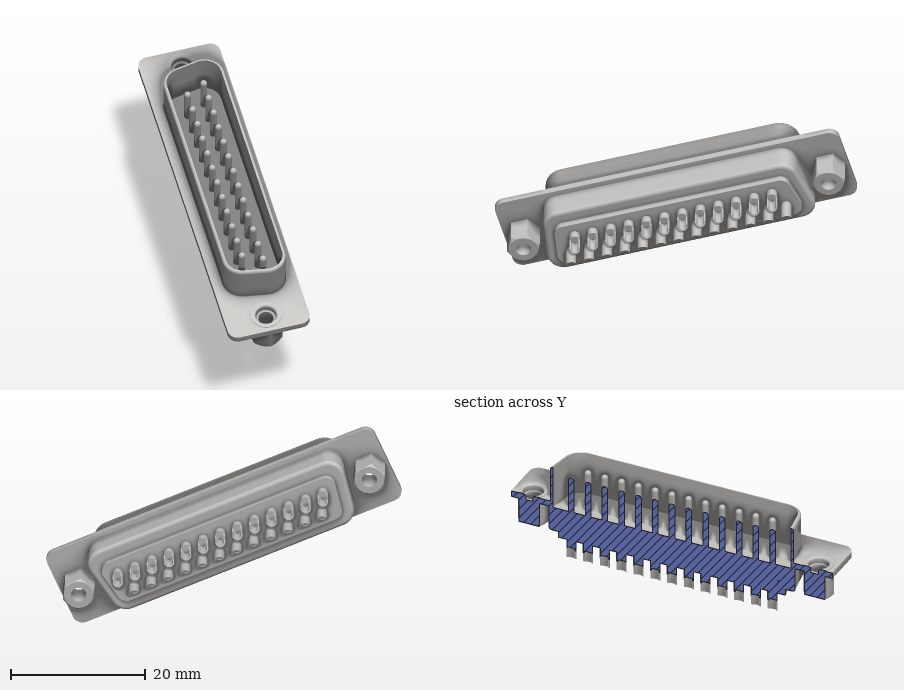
import cadquery as cq
import math

SHELL_TOP = 6.0
PLATE_THICKNESS = 1.0
BODY_BOTTOM = -5.05
INSERT_BOTTOM = -6.05
CUP_BOTTOM = -9.5
SOCKET_FLOOR = -PLATE_THICKNESS

PLATE_LENGTH = 53.05
PLATE_WIDTH = 12.55
PLATE_CORNER_RADIUS = 1.55

SIDE_SLOPE = math.radians(10)
SHELL_WIDTH = 9.45
SHELL_LENGTH = 41.35
SHELL_CORNER_RADIUS = 3.0
SHELL_WALL = 0.5
BODY_WIDTH = 10.75
BODY_LENGTH = 42.1
BODY_CORNER_RADIUS = 2.5
BODY_EDGE_RADIUS = 0.6
INSERT_WIDTH = 6.95
INSERT_LENGTH = 38.2
INSERT_CORNER_RADIUS = 1.5
ROOT_RADIUS = 0.13

PIN_PITCH = 2.77
ROW_OFFSET = 1.45
PINS_IN_WIDE_ROW = 13
PIN_RADIUS = 0.505
PIN_TOP = 4.95
CUP_RADIUS = 0.785
CUP_BORE_RADIUS = 0.6
CUP_STEP = -7.3
CUP_STEP_RADIUS = 0.4
CUP_END_RISE = 0.35

SCREW_SPACING = 47.1
NUT_CORNER_RADIUS = 2.55
NUT_END_RADIUS = 2.15
RIM_RADIUS = 2.35
RIM_HEIGHT = 0.1
SCREW_HOLE_RADIUS = 1.14
RECESS_RADIUS = 1.55
RECESS_DEPTH = 0.95
RECESS_EDGE_RADIUS = 0.3


def d_prism(length, width, corner_radius, bottom, top):
    """Upright prism with a rounded D outline, longer on its +Y side."""
    half_long = length / 2
    half_short = half_long - width * math.tan(SIDE_SLOPE)
    outline = [
        (-half_long, width / 2),
        (half_long, width / 2),
        (half_short, -width / 2),
        (-half_short, -width / 2),
    ]
    prism = cq.Workplane("XY").workplane(offset=bottom).polyline(outline).close().extrude(top - bottom)
    return prism.edges("|Z").fillet(corner_radius)


def cylinder(radius, bottom, top):
    return cq.Workplane("XY").workplane(offset=bottom).circle(radius).extrude(top - bottom)


def make_plate():
    plate = cq.Workplane("XY").rect(PLATE_LENGTH, PLATE_WIDTH).extrude(-PLATE_THICKNESS)
    return plate.edges("|Z").fillet(PLATE_CORNER_RADIUS)


def make_shell():
    shell = d_prism(SHELL_LENGTH, SHELL_WIDTH, SHELL_CORNER_RADIUS, 0, SHELL_TOP)
    return shell.faces(">Z").edges().fillet(SHELL_WALL)


def make_shell_cavity():
    corner_inset = SHELL_WALL * math.tan(math.radians(45) + SIDE_SLOPE / 2)
    inner_length = SHELL_LENGTH - 2 * corner_inset
    inner_width = SHELL_WIDTH - 2 * SHELL_WALL
    inner_radius = SHELL_CORNER_RADIUS - SHELL_WALL
    return d_prism(inner_length, inner_width, inner_radius, SOCKET_FLOOR, SHELL_TOP)


def make_body():
    body = d_prism(BODY_LENGTH, BODY_WIDTH, BODY_CORNER_RADIUS, BODY_BOTTOM, -PLATE_THICKNESS)
    return body.faces("<Z").edges().fillet(BODY_EDGE_RADIUS)


def make_insert():
    return d_prism(INSERT_LENGTH, INSERT_WIDTH, INSERT_CORNER_RADIUS, INSERT_BOTTOM, BODY_BOTTOM)


def make_screw_lock():
    """Hexagonal nut below the plate, with a thin round rim showing above it."""
    nut_height = -PLATE_THICKNESS - BODY_BOTTOM
    nut = (
        cq.Workplane("XY")
        .workplane(offset=BODY_BOTTOM)
        .polygon(6, 2 * NUT_CORNER_RADIUS)
        .extrude(nut_height)
    )
    bevel_cone = (
        cq.Workplane("XY")
        .workplane(offset=BODY_BOTTOM)
        .circle(NUT_END_RADIUS)
        .extrude(nut_height, taper=-45)
    )
    return nut.intersect(bevel_cone).union(cylinder(RIM_RADIUS, -PLATE_THICKNESS, RIM_HEIGHT))


def make_screw_bore():
    """Through hole with a wider recess whose mouth is rounded outwards."""
    floor = RIM_HEIGHT - RECESS_DEPTH
    mouth_radius = RECESS_RADIUS + RECESS_EDGE_RADIUS
    arc_reach = RECESS_EDGE_RADIUS * (1 - math.sqrt(0.5))
    profile = (
        cq.Workplane("XZ")
        .moveTo(0, BODY_BOTTOM)
        .lineTo(SCREW_HOLE_RADIUS, BODY_BOTTOM)
        .lineTo(SCREW_HOLE_RADIUS, floor)
        .lineTo(RECESS_RADIUS, floor)
        .lineTo(RECESS_RADIUS, RIM_HEIGHT - RECESS_EDGE_RADIUS)
        .threePointArc(
            (RECESS_RADIUS + arc_reach, RIM_HEIGHT - arc_reach),
            (mouth_radius, RIM_HEIGHT),
        )
        .lineTo(0, RIM_HEIGHT)
        .close()
    )
    return profile.revolve(360, (0, 0, 0), (0, 1, 0))


def make_contact():
    """Round-tipped pin above, solder cup opening towards +Y below, on the Z axis."""
    tip_center = PIN_TOP - PIN_RADIUS
    tip = cq.Workplane("XY").sphere(PIN_RADIUS).translate((0, 0, tip_center))
    pin = cylinder(PIN_RADIUS, INSERT_BOTTOM, tip_center).union(tip)
    cup = cylinder(CUP_RADIUS, CUP_BOTTOM, INSERT_BOTTOM)
    bore = cylinder(CUP_BORE_RADIUS, CUP_BOTTOM, CUP_STEP)
    arc_reach = CUP_STEP_RADIUS * (1 - math.sqrt(0.5))
    opening = (
        cq.Workplane("YZ")
        .moveTo(-CUP_RADIUS, CUP_BOTTOM)
        .lineTo(0, CUP_BOTTOM + CUP_END_RISE)
        .lineTo(0, CUP_STEP - CUP_STEP_RADIUS)
        .threePointArc((arc_reach, CUP_STEP - arc_reach), (CUP_STEP_RADIUS, CUP_STEP))
        .lineTo(CUP_RADIUS, CUP_STEP)
        .lineTo(CUP_RADIUS, CUP_BOTTOM)
        .close()
        .extrude(CUP_RADIUS, both=True)
    )
    return cup.cut(bore).cut(opening).union(pin)


def place_contact_row(part, count, y, turn):
    contact = make_contact().rotate((0, 0, 0), (0, 0, 1), turn)
    for pin_index in range(count):
        x = (pin_index - (count - 1) / 2) * PIN_PITCH
        part = part.union(contact.translate((x, y, 0)))
    return part


def fillet_root(part, length, width, z):
    """Round the inner corner where a D-shaped prism meets a face of the plate."""
    margin = ROOT_RADIUS
    low_corner = (-length / 2, -width / 2 - margin, z - margin)
    high_corner = (length / 2, width / 2 + margin, z + margin)
    return part.edges(cq.selectors.BoxSelector(low_corner, high_corner)).fillet(ROOT_RADIUS)


result = make_plate().union(make_shell()).union(make_body())
result = fillet_root(result, SHELL_LENGTH, SHELL_WIDTH, 0)
result = fillet_root(result, BODY_LENGTH, BODY_WIDTH, -PLATE_THICKNESS)
result = result.cut(make_shell_cavity()).union(make_insert())

for screw_x in (-SCREW_SPACING / 2, SCREW_SPACING / 2):
    result = result.union(make_screw_lock().translate((screw_x, 0, 0)))
    result = result.cut(make_screw_bore().translate((screw_x, 0, 0)))

result = place_contact_row(result, PINS_IN_WIDE_ROW, ROW_OFFSET, 0)
result = place_contact_row(result, PINS_IN_WIDE_ROW - 1, -ROW_OFFSET, 180)